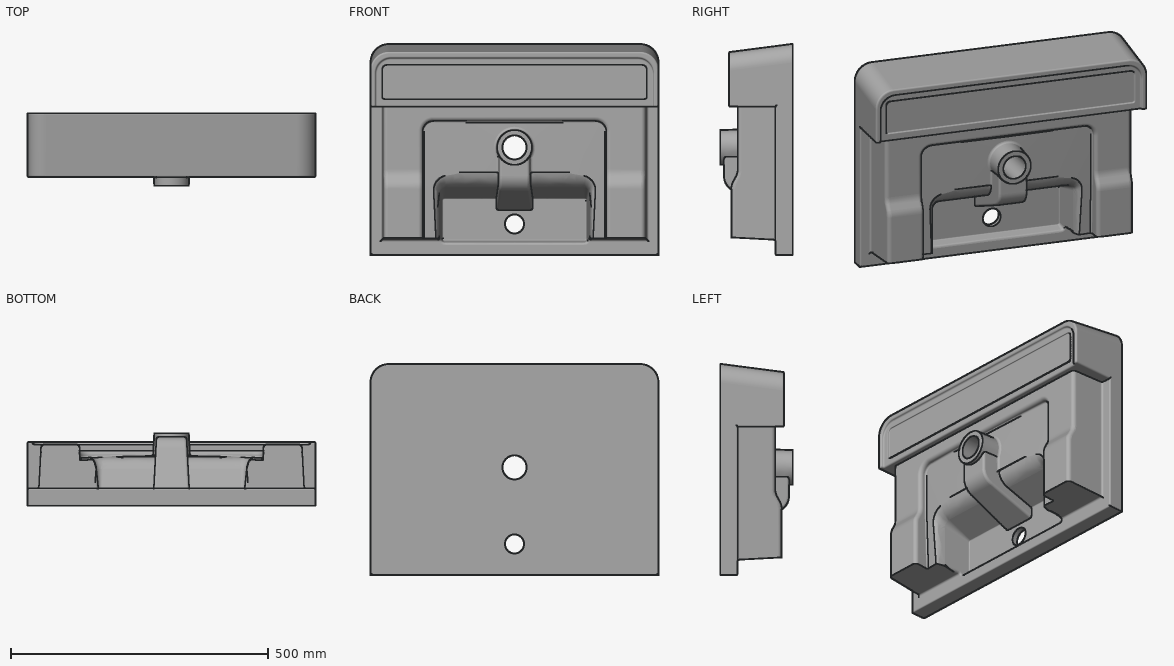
import cadquery as cq
import math


WIDTH = 560.0
HOOD_BACK_TOP = 410.73
SLAB_DEPTH = 34.0
HOOD_DEPTH = 124.4
HOOD_BOTTOM = 288.3
HOOD_FRONT_TOP = 394.6
HOOD_CORNER_RADIUS = 36.0
SLAB_EDGE_RADIUS = 2.7
HOOD_EDGE_RADIUS = 3.5
CLEARANCE = 0.1

RIM_HALF_WIDTH = 270.7
RIM_TOP = 383.7
RIM_STEP = 5.0
RIM_WALL_DRAFT = 18.0
RIM_STEP_RADIUS = 3.3
RIM_CORNER_RADIUS = 31.0
PANEL_HALF_WIDTH = 256.9
PANEL_BOTTOM = 303.3
PANEL_TOP = 369.5
PANEL_STEP = 3.0
PANEL_STEP_RADIUS = 1.4
PANEL_TOP_CORNER = 9.0
PANEL_BOTTOM_CORNER = 4.0

BOWL_HALF_WIDTH = 257.7
BOWL_BOTTOM = 29.7
BOWL_DRAFT = 3.0
UPPER_DEPTH = 107.3
LEG_DEPTH = 119.8
STEP_TOP = 159.5
STEP_BOTTOM = 136.0
STEP_RADIUS = 28.0
BOWL_EDGE_RADIUS = 8.0
BOWL_ROOT_RADIUS = 4.0

ARCH_HALF_WIDTH = 178.5
ARCH_TOP = 260.6
ARCH_CORNER_RADIUS = 21.0
FLOOR_CROWN_DEPTH = 97.5
FLOOR_CROWN_Z = 230.0
FLOOR_CROWN_RADIUS = 4000.0
ARCH_ROOT_RADIUS = 3.0

POCKET_FLOOR_DEPTH = 12.6
POCKET_FLOOR_HALF_WIDTH = 140.0
POCKET_FLOOR_BOTTOM = 28.4
POCKET_FLOOR_TOP = 110.0
POCKET_FLOOR_CORNER = 4.0
POCKET_FRONT_CORNER = 16.0
POCKET_SIDE_DRAFT = 6.0
UNDERSIDE_SLOPE = 20.0
LIP_SLOPE = 12.0
FLARE_DEPTH = 20.0
FLARE_SIDE = 8.0
FLARE_TOP = 21.0
FLARE_SIDE_END = 92.0
FLARE_TOP_END = 95.5
FLARE_SECTIONS = 6
POCKET_ROOT_RADIUS = 2.0
LIP_RADIUS = 5.0
TAP_HOLE_DIAMETER = 36.6
TAP_HOLE_Z = 60.6

DRAIN_Z = 209.3
DRAIN_DEPTH = 141.65
DRAIN_BASE_RADIUS = 40.0
DRAIN_END_RADIUS = 33.8
DRAIN_HOLE_DIAMETER = 46.5
DRAIN_ROOT_RADIUS = 4.5
DRAIN_ROOT_DEPTH_RANGE = 3.0
CHANNEL_DEPTH = 134.2
CHANNEL_FLOOR_BOTTOM = 87.6
CHANNEL_BASE_HALF_WIDTH = 35.5
CHANNEL_DRAFT = 3.0
CHANNEL_NOSE_RADIUS = 31.0
CHANNEL_EDGE_RADIUS = 5.0


def front_plane(depth):
    """Workplane facing -Y at the given depth; its local axes are X and Z."""
    return cq.Workplane("XZ", origin=(0, -depth, 0))


def side_extrusion(points, half_width):
    """Extrudes a (Y, Z) outline symmetrically along X."""
    return cq.Workplane("YZ").polyline(points).close().extrude(half_width, both=True)


def rectangle(half_width, bottom, top, depth):
    """Rectangle on the front plane at a depth, centred in X."""
    height = top - bottom
    return front_plane(depth).center(0, bottom + height / 2).rect(2 * half_width, height)


def edges_within(shape, x_range, depth_range, z_range):
    """Edges of the shape whose centres lie within the given ranges, widened by the clearance."""
    near_corner = (x_range[0] - CLEARANCE, -depth_range[1] - CLEARANCE, z_range[0] - CLEARANCE)
    far_corner = (x_range[1] + CLEARANCE, -depth_range[0] + CLEARANCE, z_range[1] + CLEARANCE)
    return shape.edges(cq.selectors.BoxSelector(near_corner, far_corner))


def make_slab():
    slab = rectangle(WIDTH / 2, 0, HOOD_BOTTOM + HOOD_CORNER_RADIUS, 0).extrude(SLAB_DEPTH)
    return slab.faces("<Y").edges("|Z or <Z").fillet(SLAB_EDGE_RADIUS)


def make_rim_recess():
    """Arched recess with sloping walls that runs out through the hood bottom."""
    arch = rectangle(RIM_HALF_WIDTH, 0, RIM_TOP, HOOD_DEPTH).extrude(-RIM_STEP)
    arch = arch.faces(">Z").edges("|Y").fillet(RIM_CORNER_RADIUS)
    mouth = arch.faces("<Y").wires().toPending()
    return mouth.workplane(origin=(0, -HOOD_DEPTH, 0)).extrude(-RIM_STEP, combine=False, taper=RIM_WALL_DRAFT)


def make_panel_recess():
    floor_depth = HOOD_DEPTH - RIM_STEP
    panel = rectangle(PANEL_HALF_WIDTH, PANEL_BOTTOM, PANEL_TOP, floor_depth).extrude(-PANEL_STEP)
    panel = panel.faces(">Z").edges("|Y").fillet(PANEL_TOP_CORNER)
    return panel.faces("<Z").edges("|Y").fillet(PANEL_BOTTOM_CORNER)


def make_hood():
    outline = [
        (0, HOOD_BOTTOM),
        (0, HOOD_BACK_TOP),
        (-HOOD_DEPTH, HOOD_FRONT_TOP),
        (-HOOD_DEPTH, HOOD_BOTTOM),
    ]
    hood = side_extrusion(outline, WIDTH / 2)
    hood = hood.faces(">Z").edges("<X or >X").fillet(HOOD_CORNER_RADIUS)
    outer_edge = hood.faces("<Y").edges(">Z")
    hood = outer_edge.fillet(HOOD_EDGE_RADIUS)

    hood = hood.cut(make_rim_recess())
    panel_plane = HOOD_DEPTH - RIM_STEP
    inside = (-RIM_HALF_WIDTH, RIM_HALF_WIDTH)
    above_bottom = (HOOD_BOTTOM + HOOD_EDGE_RADIUS, RIM_TOP)
    hood = edges_within(hood, inside, (panel_plane, panel_plane), above_bottom).fillet(RIM_STEP_RADIUS)
    hood = edges_within(hood, inside, (HOOD_DEPTH, HOOD_DEPTH), above_bottom).fillet(RIM_STEP_RADIUS)
    hood = hood.faces("<Z").edges("not >Y").fillet(HOOD_EDGE_RADIUS)

    hood = hood.cut(make_panel_recess())
    panel_x = (-PANEL_HALF_WIDTH, PANEL_HALF_WIDTH)
    panel_z = (PANEL_BOTTOM, PANEL_TOP)
    panel_floor = panel_plane - PANEL_STEP
    hood = edges_within(hood, panel_x, (panel_floor, panel_plane), panel_z).edges("not |Y")
    return hood.fillet(PANEL_STEP_RADIUS)


def make_arch_recess():
    """Arched cut down to a slightly domed floor whose crown lies behind the drain."""
    arch = rectangle(ARCH_HALF_WIDTH, 0, ARCH_TOP, SLAB_DEPTH).extrude(LEG_DEPTH)
    arch = arch.faces(">Z").edges("|Y").fillet(ARCH_CORNER_RADIUS)
    dome_centre = (0, FLOOR_CROWN_RADIUS - FLOOR_CROWN_DEPTH, FLOOR_CROWN_Z)
    return arch.cut(cq.Workplane("XY", origin=dome_centre).sphere(FLOOR_CROWN_RADIUS))


def make_bowl():
    top = HOOD_BOTTOM + BOWL_EDGE_RADIUS * 2
    outline = [
        (0, 0),
        (0, top),
        (-UPPER_DEPTH, top),
        (-UPPER_DEPTH, STEP_TOP),
        (-LEG_DEPTH, STEP_BOTTOM),
        (-LEG_DEPTH, 0),
    ]
    profile = side_extrusion(outline, WIDTH / 2)
    step_edges = edges_within(profile, (0, 0), (UPPER_DEPTH, LEG_DEPTH), (STEP_BOTTOM, STEP_TOP)).edges("|X")
    profile = step_edges.fillet(STEP_RADIUS)
    envelope = rectangle(BOWL_HALF_WIDTH, BOWL_BOTTOM, top * 2, SLAB_DEPTH)
    bowl = profile.intersect(envelope.extrude(LEG_DEPTH, taper=BOWL_DRAFT))

    bowl = bowl.cut(make_arch_recess())
    long_edges = bowl.faces("<Y").edges("not |X")
    bowl = long_edges.fillet(BOWL_EDGE_RADIUS)
    arch_x = (-ARCH_HALF_WIDTH, ARCH_HALF_WIDTH)
    floor_depths = (SLAB_DEPTH, FLOOR_CROWN_DEPTH)
    floor_edges = edges_within(bowl, arch_x, floor_depths, (BOWL_BOTTOM + LEG_DEPTH / 3, ARCH_TOP))
    return floor_edges.fillet(ARCH_ROOT_RADIUS)


def pocket_section(advance, flare_side=0.0, flare_top=0.0):
    """Rounded rectangle across the pocket, at a distance in front of its floor."""
    spread = advance * math.tan(math.radians(POCKET_SIDE_DRAFT))
    half_width = POCKET_FLOOR_HALF_WIDTH + spread + flare_side
    bottom = POCKET_FLOOR_BOTTOM - advance * math.tan(math.radians(LIP_SLOPE))
    top = POCKET_FLOOR_TOP + advance * math.tan(math.radians(UNDERSIDE_SLOPE)) + flare_top
    corner_growth = (POCKET_FRONT_CORNER - POCKET_FLOOR_CORNER) / (FLARE_TOP_END - POCKET_FLOOR_DEPTH)
    corner = POCKET_FLOOR_CORNER + corner_growth * advance + flare_side
    outline = cq.Sketch().rect(2 * half_width, top - bottom).vertices().fillet(corner)
    return outline.moved(cq.Location(cq.Vector(0, (top + bottom) / 2, advance)))


def flare_opening(advance, end_depth):
    """Share, 0 to 1, of a quarter-round flare that is open at a distance in front of the pocket floor."""
    flare_start = end_depth - FLARE_DEPTH - POCKET_FLOOR_DEPTH
    rise = min(max((advance - flare_start) / FLARE_DEPTH, 0), 1)
    return 1 - math.sqrt(1 - rise**2)


def make_pocket():
    """Tapered pocket whose sides and top curve outwards until they meet the arched recess floor."""
    straight_length = FLARE_SIDE_END - FLARE_DEPTH - POCKET_FLOOR_DEPTH
    flare_length = FLARE_TOP_END - POCKET_FLOOR_DEPTH - straight_length
    flare = []
    for index in range(FLARE_SECTIONS + 1):
        advance = straight_length + flare_length * math.sin(math.pi / 2 * index / FLARE_SECTIONS)
        flare_side = FLARE_SIDE * flare_opening(advance, FLARE_SIDE_END)
        flare_top = FLARE_TOP * flare_opening(advance, FLARE_TOP_END)
        flare.append(pocket_section(advance, flare_side, flare_top))
    floor_plane = front_plane(POCKET_FLOOR_DEPTH)
    straight = floor_plane.placeSketch(pocket_section(0), flare[0]).loft()
    mouth = floor_plane.placeSketch(flare[-1]).extrude(LEG_DEPTH)
    return straight.union(floor_plane.placeSketch(*flare).loft()).union(mouth)


def make_drain():
    tube_length = DRAIN_DEPTH - POCKET_FLOOR_DEPTH
    tube = front_plane(POCKET_FLOOR_DEPTH).center(0, DRAIN_Z).circle(DRAIN_BASE_RADIUS)
    return tube.workplane(offset=tube_length).circle(DRAIN_END_RADIUS).loft()


def make_channel():
    slope_rate = math.tan(math.radians(UNDERSIDE_SLOPE))
    nose_bottom = CHANNEL_FLOOR_BOTTOM + slope_rate * (CHANNEL_DEPTH - POCKET_FLOOR_DEPTH)
    outline = [
        (-POCKET_FLOOR_DEPTH, CHANNEL_FLOOR_BOTTOM),
        (-POCKET_FLOOR_DEPTH, DRAIN_Z),
        (-CHANNEL_DEPTH, DRAIN_Z),
        (-CHANNEL_DEPTH, nose_bottom),
    ]
    channel = side_extrusion(outline, CHANNEL_BASE_HALF_WIDTH)
    channel = channel.faces("<Y").edges("<Z").fillet(CHANNEL_NOSE_RADIUS)
    envelope = rectangle(CHANNEL_BASE_HALF_WIDTH, 0, 2 * DRAIN_Z, POCKET_FLOOR_DEPTH)
    channel = channel.intersect(envelope.extrude(CHANNEL_DEPTH, taper=CHANNEL_DRAFT))
    return channel.faces("<Y").edges("not |X").fillet(CHANNEL_EDGE_RADIUS)


def cylinder_through(diameter, z):
    return front_plane(0).center(0, z).circle(diameter / 2).extrude(DRAIN_DEPTH)


def round_bowl_root(body):
    """Rounds the corner between the bowl and the slab."""
    across = (-BOWL_HALF_WIDTH, BOWL_HALF_WIDTH)
    below_hood = (BOWL_BOTTOM, HOOD_BOTTOM - BOWL_ROOT_RADIUS)
    return edges_within(body, across, (SLAB_DEPTH, SLAB_DEPTH), below_hood).fillet(BOWL_ROOT_RADIUS)


def round_pocket(body):
    """Rounds the pocket where it meets its floor and the lip where it runs out through the slab."""
    across = (-POCKET_FLOOR_HALF_WIDTH, POCKET_FLOOR_HALF_WIDTH)
    floor_depths = (POCKET_FLOOR_DEPTH, POCKET_FLOOR_DEPTH)
    body = edges_within(body, across, floor_depths, (0, POCKET_FLOOR_TOP)).fillet(POCKET_ROOT_RADIUS)
    lip_z = (SLAB_EDGE_RADIUS * 2, BOWL_BOTTOM)
    return edges_within(body, (0, 0), (SLAB_DEPTH, SLAB_DEPTH), lip_z).fillet(LIP_RADIUS)


def round_drain_root(body):
    """Rounds the foot of the drain tube and channel on the domed floor."""
    across = (-DRAIN_BASE_RADIUS, DRAIN_BASE_RADIUS)
    floor_depths = (FLOOR_CROWN_DEPTH - DRAIN_ROOT_DEPTH_RANGE, FLOOR_CROWN_DEPTH)
    around_tube = (DRAIN_Z - 2 * DRAIN_BASE_RADIUS, DRAIN_Z + DRAIN_BASE_RADIUS)
    return edges_within(body, across, floor_depths, around_tube).fillet(DRAIN_ROOT_RADIUS)


body = make_hood().union(make_slab()).union(make_bowl())
body = round_bowl_root(body)
body = round_pocket(body.cut(make_pocket()))
body = round_drain_root(body.union(make_channel()).union(make_drain()))
body = body.faces(">Y").edges().fillet(SLAB_EDGE_RADIUS)
body = body.cut(cylinder_through(DRAIN_HOLE_DIAMETER, DRAIN_Z))
result = body.cut(cylinder_through(TAP_HOLE_DIAMETER, TAP_HOLE_Z))